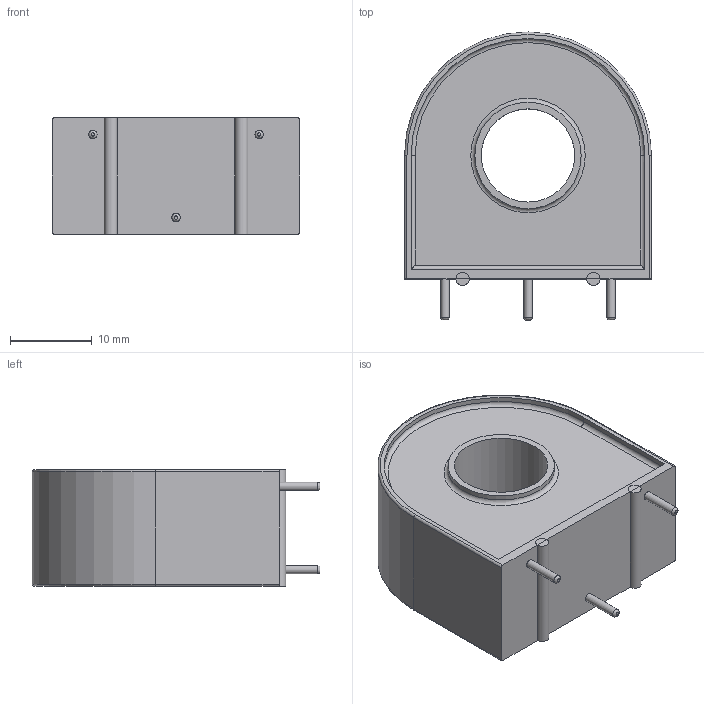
import cadquery as cq

housing_width = 30.2
housing_height = 14.3
housing_radius = housing_width / 2
mount_face_y = -housing_radius
rim_round = 0.3

wall_thickness = 0.8
mount_wall_thickness = 1.2
recess_depth = 1.1
recess_fillet = 0.5
collar_diameter = 13.0
bore_diameter = 11.4

rib_radius = 0.8
rib_spacing = 16.0

pin_diameter = 1.02
pin_length = 5.0
pin_tip_round = 0.3
pin_pitch = 10.16
pin_row_z = pin_pitch / 2

top_z = housing_height / 2
floor_z = top_z - recess_depth


def arch_prism(radius, base_y, bottom_z, height):
    """Extrude an arch: a half circle about the bore axis, carried straight down to a flat base."""
    return (
        cq.Workplane("XY", origin=(0, 0, bottom_z))
        .moveTo(-radius, base_y)
        .lineTo(radius, base_y)
        .lineTo(radius, 0)
        .threePointArc((0, radius), (-radius, 0))
        .close()
        .extrude(height)
    )


def cylinder_z(diameter, bottom_z, height):
    return cq.Workplane("XY", origin=(0, 0, bottom_z)).circle(diameter / 2).extrude(height)


def make_housing():
    """Solid arch with its top and bottom rims rounded, except along the mounting face."""
    block = arch_prism(housing_radius, mount_face_y, -top_z, housing_height)
    return block.faces("|Z").edges("not <Y").fillet(rim_round)


def make_recess():
    """Ring-shaped pocket whose floor meets the wall and the collar in fillets."""
    pocket = arch_prism(
        housing_radius - wall_thickness, mount_face_y + mount_wall_thickness, floor_z, recess_depth
    )
    pocket = pocket.cut(cylinder_z(collar_diameter, floor_z, recess_depth))
    return pocket.faces("<Z").edges().fillet(recess_fillet)


def make_rib(x):
    return cq.Workplane("XY", origin=(x, mount_face_y, -top_z)).circle(rib_radius).extrude(housing_height)


def make_pin(x, z):
    return (
        cq.Workplane("XZ", origin=(x, mount_face_y, z))
        .circle(pin_diameter / 2)
        .extrude(pin_length)
        .faces("<Y")
        .edges()
        .fillet(pin_tip_round)
    )


pin_positions = [(-pin_pitch, pin_row_z), (pin_pitch, pin_row_z), (0, -pin_row_z)]

result = make_housing().cut(make_recess()).cut(cylinder_z(bore_diameter, -top_z, housing_height))
for rib_x in (-rib_spacing / 2, rib_spacing / 2):
    result = result.union(make_rib(rib_x), clean=False)
for pin_x, pin_z in pin_positions:
    result = result.union(make_pin(pin_x, pin_z), clean=False)